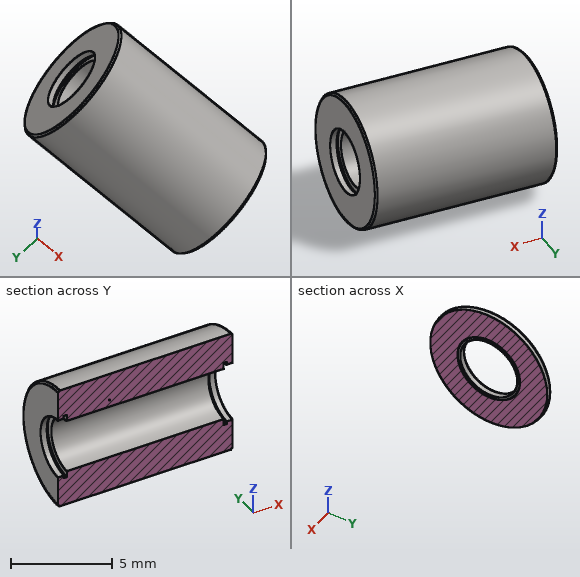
import cadquery as cq

length = 10.0
outer_diameter = 7.0
edge_chamfer = 0.1

bore_diameter = 3.0

lip_diameter = 3.4
lip_depth = 0.35
groove_diameter = 3.7
recess_depth = 0.5


def cylinder_along_x(diameter, start, depth):
    """Solid cylinder centred on the X axis, running from start towards +X."""
    return cq.Workplane("YZ", origin=(start, 0, 0)).circle(diameter / 2).extrude(depth)


def left_recess():
    """Cutter for the recess in the -X end."""
    entry = cylinder_along_x(lip_diameter, left_end, lip_depth)
    groove = cylinder_along_x(groove_diameter, left_end + lip_depth, recess_depth - lip_depth)
    return entry.union(groove)


left_end = -length / 2

body = cylinder_along_x(outer_diameter, left_end, length).edges("%CIRCLE").chamfer(edge_chamfer)

sleeve = body.cut(cylinder_along_x(bore_diameter, left_end, length))

recess = left_recess()
result = sleeve.cut(recess).cut(recess.mirror("YZ"))